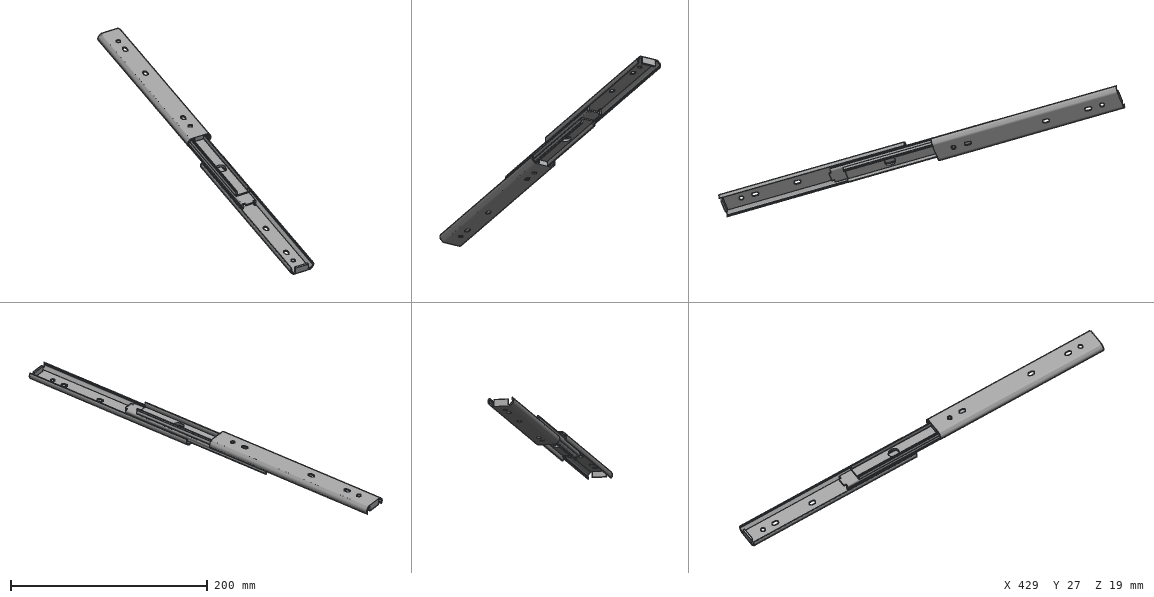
import cadquery as cq
import math

TOTAL_LENGTH = 429.0
RAIL_LENGTH = 200.0
CENTRE_X = TOTAL_LENGTH / 2
SHEET = 1.5

ASSEMBLY_HEIGHT = 19.0
RAIL_TOP_Z = ASSEMBLY_HEIGHT / 2
RAIL_WIDTH = 27.0
RAIL_FLAT_WIDTH = 17.0
RAIL_BEND_RADIUS = 3.0
SHOULDER_WIDTH = 24.5
SIDE_BULGE_Z = 4.0
LIP_OUTER_WIDTH = 24.0
LIP_BOTTOM_Z = 0.65
LIP_INNER_WIDTH = 23.0
LIP_INNER_Z = 1.7
TRACK_FLOOR_WIDTH = 24.5
TRACK_Z = 4.5
TRACK_BOTTOM_Z = 3.0

TAB_THICKNESS = 2.0
END_TAB_WIDTH = 14.5
END_TAB_Z = 2.0
STOP_TAB_WIDTH = 9.5
STOP_TAB_Z = 4.5

HOLE_DIAMETER = 4.7
SLOT_LENGTH = 7.5
SLOT_WIDTH = 4.5
OUTER_HOLE_X = 19.7
INNER_HOLE_X = 180.0
SLOT_POSITIONS_X = (34.7, 80.0, 164.5)

CHANNEL_START_X = 118.5
CHANNEL_END_X = 296.5
TONGUE_START_X = 115.8
TONGUE_WIDTH = 9.5
CHANNEL_FLAT_WIDTH = 12.5
CHANNEL_BEND_RADIUS = 2.0
GROOVE_BOTTOM_Z = 3.5
GROOVE_FLOOR_WIDTH = 15.0
GROOVE_TOP_WIDTH = 16.5
GROOVE_TOP_Z = 5.5
RIM_OUTER_WIDTH = 15.0
RIM_INNER_WIDTH = 13.5
RIM_Z = 7.0
INNER_BULGE_WIDTH = 11.5
ACCESS_LENGTH = 11.5
ACCESS_WIDTH = 9.5


def turned_over(body):
    """Turn a body half a turn about the Y direction through the assembly centre."""
    return body.rotate((CENTRE_X, 0, 0), (CENTRE_X, 1, 0), 180)


def both_sides(half_outline, length):
    """Extrude an outline of the +Y half along X and join it to its mirror image."""
    half = half_outline.close().extrude(length)
    return half.union(half.mirror("XZ"))


def centred_block(x_start, x_end, width, z_bottom, z_top):
    """Block centred on Y = 0."""
    block = cq.Workplane("XY").box(x_end - x_start, width, z_top - z_bottom, centered=(False, True, False))
    return block.translate((x_start, 0, z_bottom))


def on_arc(centre, radius, degrees):
    """Point of an arc in the YZ plane, with the angle measured from +Y towards +Z."""
    angle = math.radians(degrees)
    return (centre[0] + radius * math.cos(angle), centre[1] + radius * math.sin(angle))


def rail_profile():
    bend_centre = (RAIL_FLAT_WIDTH / 2, RAIL_TOP_Z - RAIL_BEND_RADIUS)
    bend_middle = on_arc(bend_centre, RAIL_BEND_RADIUS, 67.5)
    bend_end = on_arc(bend_centre, RAIL_BEND_RADIUS, 45)
    outer_sum = sum(bend_end)
    inner_sum = outer_sum - SHEET * math.sqrt(2)
    web_bottom_z = RAIL_TOP_Z - SHEET
    shoulder_y = SHOULDER_WIDTH / 2
    lip_inner_y = LIP_INNER_WIDTH / 2
    return (
        cq.Workplane("YZ")
        .moveTo(0, RAIL_TOP_Z)
        .lineTo(RAIL_FLAT_WIDTH / 2, RAIL_TOP_Z)
        .threePointArc(bend_middle, bend_end)
        .lineTo(shoulder_y, outer_sum - shoulder_y)
        .threePointArc((RAIL_WIDTH / 2, SIDE_BULGE_Z), (LIP_OUTER_WIDTH / 2, LIP_BOTTOM_Z))
        .lineTo(lip_inner_y, LIP_INNER_Z)
        .lineTo(lip_inner_y, TRACK_BOTTOM_Z)
        .threePointArc((TRACK_FLOOR_WIDTH / 2, TRACK_Z), (lip_inner_y, inner_sum - lip_inner_y))
        .lineTo(inner_sum - web_bottom_z, web_bottom_z)
        .lineTo(0, web_bottom_z)
    )


def mounting_holes():
    web_bottom = cq.Workplane("XY", origin=(0, 0, RAIL_TOP_Z - SHEET))
    round_points = [(x, 0) for x in (OUTER_HOLE_X, INNER_HOLE_X)]
    slot_points = [(x, 0) for x in SLOT_POSITIONS_X]
    round_holes = web_bottom.pushPoints(round_points).circle(HOLE_DIAMETER / 2).extrude(SHEET)
    slots = web_bottom.pushPoints(slot_points).slot2D(SLOT_LENGTH, SLOT_WIDTH).extrude(SHEET)
    return round_holes.union(slots)


def make_rail():
    """Upper rail, from X = 0, opening downwards."""
    rail = both_sides(rail_profile(), RAIL_LENGTH)
    end_tab = centred_block(0, TAB_THICKNESS, END_TAB_WIDTH, END_TAB_Z, RAIL_TOP_Z)
    stop_tab = centred_block(
        RAIL_LENGTH - TAB_THICKNESS, RAIL_LENGTH, STOP_TAB_WIDTH, STOP_TAB_Z, RAIL_TOP_Z
    )
    return rail.union(end_tab).union(stop_tab).cut(mounting_holes())


def channel_profile():
    bend_centre = (CHANNEL_FLAT_WIDTH / 2, CHANNEL_BEND_RADIUS)
    rise_above_centre = GROOVE_BOTTOM_Z - CHANNEL_BEND_RADIUS
    bend_end_angle = math.degrees(math.asin(rise_above_centre / CHANNEL_BEND_RADIUS))
    bend_middle = on_arc(bend_centre, CHANNEL_BEND_RADIUS, 0)
    bend_end = on_arc(bend_centre, CHANNEL_BEND_RADIUS, bend_end_angle)
    return (
        cq.Workplane("YZ", origin=(CHANNEL_START_X, 0, 0))
        .lineTo(CHANNEL_FLAT_WIDTH / 2, 0)
        .threePointArc(bend_middle, bend_end)
        .threePointArc((GROOVE_FLOOR_WIDTH / 2, TRACK_Z), (GROOVE_TOP_WIDTH / 2, GROOVE_TOP_Z))
        .lineTo(RIM_OUTER_WIDTH / 2, RIM_Z)
        .lineTo(RIM_INNER_WIDTH / 2, RIM_Z)
        .threePointArc((INNER_BULGE_WIDTH / 2, TRACK_Z), (RIM_INNER_WIDTH / 2, SHEET))
        .lineTo(0, SHEET)
    )


def make_channel():
    """Upper channel of the middle member, opening upwards, with its tongue."""
    channel = both_sides(channel_profile(), CHANNEL_END_X - CHANNEL_START_X)
    tongue = centred_block(TONGUE_START_X, CHANNEL_START_X, TONGUE_WIDTH, 0, SHEET)
    return channel.union(tongue)


def make_middle_member():
    channel = make_channel()
    middle = channel.union(turned_over(channel))
    access_points = [(x, 0) for x in (INNER_HOLE_X, TOTAL_LENGTH - INNER_HOLE_X)]
    access = (
        cq.Workplane("XY")
        .pushPoints(access_points)
        .slot2D(ACCESS_LENGTH, ACCESS_WIDTH)
        .extrude(SHEET, both=True)
    )
    return middle.cut(access)


upper_rail = make_rail()
lower_rail = turned_over(upper_rail)
middle_member = make_middle_member()

bodies = (upper_rail, lower_rail, middle_member)
result = cq.Compound.makeCompound([body.solids().val() for body in bodies])